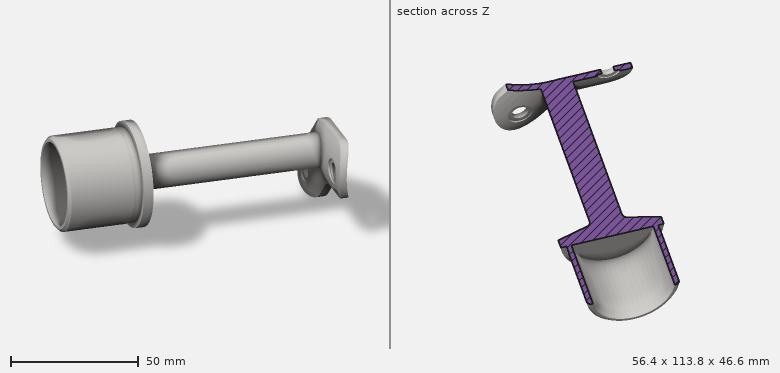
import cadquery as cq
import math

TOTAL_LENGTH = 113.8

SOCKET_RADIUS = 19.0
SOCKET_BORE_RADIUS = 16.7
SOCKET_CHAMFER = 1.1
NECK_RADIUS = 18.9
NECK_TAPER = 0.7
NECK_START = 27.4
FLANGE_RADIUS = 21.2
FLANGE_START = 30.0
FLANGE_THICKNESS = 4.0

STEM_DIAMETER = 14.0
STEM_RADIUS = STEM_DIAMETER / 2
CONE_ANGLE = 15.0
STEM_FILLET = 2.0

RAIL_RADIUS = FLANGE_RADIUS
PLATE_THICKNESS = 3.0
ARM_WIDTH = 24.0
ARM_HALF_WIDTH = ARM_WIDTH / 2
ARM_LENGTH = 19.0
ARM_ANGLE = 135.0
CORNER_RADIUS = 10.0

HOLE_DISTANCE = 21.1
HOLE_RADIUS = 3.3
COUNTERBORE_RADIUS = 5.0
COUNTERBORE_DEPTH = 0.8

RAIL_AXIS_Y = TOTAL_LENGTH + math.sqrt(RAIL_RADIUS**2 - ARM_HALF_WIDTH**2)
SADDLE_RADIUS = RAIL_RADIUS + PLATE_THICKNESS
CROWN_Y = RAIL_AXIS_Y - SADDLE_RADIUS

HALF_ANGLE = math.radians(ARM_ANGLE / 2)
MITRE_NORMAL = (math.sin(HALF_ANGLE), 0, math.cos(HALF_ANGLE))
REACH = 2 * (ARM_LENGTH + ARM_HALF_WIDTH)

BLOCK_SIZE = 3 * TOTAL_LENGTH


def revolve_about_y(outline):
    return outline.close().revolve(360, (0, 0, 0), (0, 1, 0))


def make_post():
    """Stem, cone, flange and socket as one turned body, with the socket bored out."""
    flange_end = FLANGE_START + FLANGE_THICKNESS
    cone_slope = math.tan(math.radians(CONE_ANGLE))
    cone_end = flange_end + (FLANGE_RADIUS - STEM_RADIUS) * cone_slope
    stem_end = CROWN_Y + PLATE_THICKNESS / 2

    tangent = STEM_FILLET * math.tan(math.radians(90 - CONE_ANGLE) / 2)
    fillet_center = (STEM_RADIUS + STEM_FILLET, cone_end + tangent)
    middle_angle = math.radians(180 + (90 - CONE_ANGLE) / 2)
    fillet_middle = (
        fillet_center[0] + STEM_FILLET * math.cos(middle_angle),
        fillet_center[1] + STEM_FILLET * math.sin(middle_angle),
    )
    fillet_start = (
        STEM_RADIUS + tangent * math.cos(math.radians(CONE_ANGLE)),
        cone_end - tangent * math.sin(math.radians(CONE_ANGLE)),
    )

    body = revolve_about_y(
        cq.Workplane("XY")
        .lineTo(SOCKET_RADIUS - SOCKET_CHAMFER, 0)
        .lineTo(SOCKET_RADIUS, SOCKET_CHAMFER)
        .lineTo(SOCKET_RADIUS, NECK_START - NECK_TAPER)
        .lineTo(NECK_RADIUS, NECK_START)
        .lineTo(NECK_RADIUS, FLANGE_START)
        .lineTo(FLANGE_RADIUS, FLANGE_START)
        .lineTo(FLANGE_RADIUS, flange_end)
        .lineTo(*fillet_start)
        .threePointArc(fillet_middle, (STEM_RADIUS, fillet_center[1]))
        .lineTo(STEM_RADIUS, stem_end)
        .lineTo(0, stem_end)
    )
    bore = revolve_about_y(
        cq.Workplane("XY")
        .lineTo(SOCKET_BORE_RADIUS, 0)
        .lineTo(SOCKET_BORE_RADIUS, FLANGE_START)
        .lineTo(0, FLANGE_START)
    )
    return body.cut(bore)


def join_mirrored(arm):
    """Trim a +X arm at the mitre plane and join it to its mirror image."""
    keep = (
        cq.Workplane(cq.Plane((0, 0, 0), xDir=(0, 1, 0), normal=MITRE_NORMAL))
        .rect(BLOCK_SIZE, BLOCK_SIZE)
        .extrude(REACH)
    )
    half = arm.intersect(keep)
    return half.union(half.mirror(MITRE_NORMAL))


def make_plate_outline():
    """Two round-ended arms as a straight prism along Y, with both corners of the bend rounded."""
    prism = join_mirrored(
        cq.Workplane("XZ")
        .moveTo(-REACH, -ARM_HALF_WIDTH)
        .lineTo(ARM_LENGTH, -ARM_HALF_WIDTH)
        .threePointArc((ARM_LENGTH + ARM_HALF_WIDTH, 0), (ARM_LENGTH, ARM_HALF_WIDTH))
        .lineTo(-REACH, ARM_HALF_WIDTH)
        .close()
        .extrude(-TOTAL_LENGTH)
    )
    corner_x = ARM_HALF_WIDTH / math.tan(HALF_ANGLE)
    for side in (-1, 1):
        corner = (side * corner_x, TOTAL_LENGTH / 2, -side * ARM_HALF_WIDTH)
        prism = prism.edges(cq.NearestToPointSelector(corner)).fillet(CORNER_RADIUS)
    return prism


def make_bent_rail(radius):
    """Solid round bar following both arms, centered on the handrail axis."""
    return join_mirrored(
        cq.Workplane("YZ", origin=(-REACH, 0, 0))
        .center(RAIL_AXIS_Y, 0)
        .circle(radius)
        .extrude(2 * REACH)
    )


def make_screw_holes():
    """Counterbored through holes, one in each arm, sunk from the stem side."""
    counterbore_floor = CROWN_Y + COUNTERBORE_DEPTH
    hole = cq.Workplane("XZ").center(HOLE_DISTANCE, 0).circle(HOLE_RADIUS).extrude(-TOTAL_LENGTH)
    counterbore = (
        cq.Workplane("XZ")
        .center(HOLE_DISTANCE, 0)
        .circle(COUNTERBORE_RADIUS)
        .extrude(-counterbore_floor)
    )
    return join_mirrored(hole.union(counterbore))


def make_plate():
    saddle = make_bent_rail(SADDLE_RADIUS).cut(make_bent_rail(RAIL_RADIUS))
    return saddle.intersect(make_plate_outline()).cut(make_screw_holes())


result = make_post().union(make_plate())